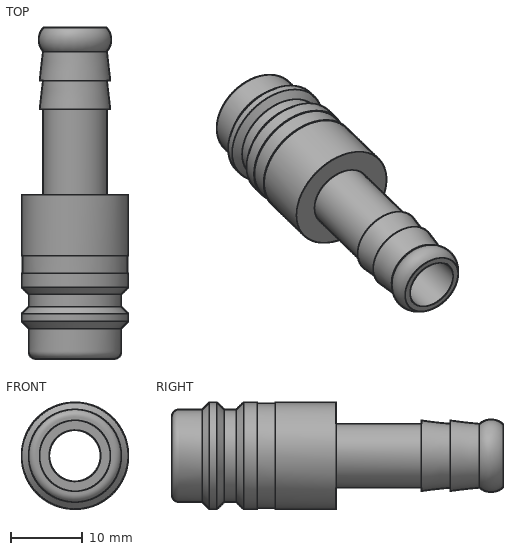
import cadquery as cq

length = 46.5
body_diameter = 15.0
body_radius = body_diameter / 2
relief_radius = 7.4
plug_radius = 6.5
stem_radius = 4.5
barb_radius = 4.98
bead_radius = 5.1
bead_end_radius = 4.4
bore_radius = 3.6
socket_radius = 4.98

nose_fillet = 1.0
collar_start = 4.3
collar_end = 7.35
groove_end = 9.05
chamfer = body_radius - plug_radius
relief_start = 12.0
relief_end = 14.5
body_end = 23.05
barb_start = 35.0
barb_count = 2
barb_length = 4.05
bead_start = barb_start + barb_count * barb_length

shoulder_wall = 3.1
socket_depth = body_end - shoulder_wall


def add_barbs(profile):
    """Draw each barb as a sharp step out followed by a taper back to the stem."""
    for index in range(barb_count):
        start = barb_start + index * barb_length
        profile = profile.lineTo(barb_radius, start)
        profile = profile.lineTo(stem_radius, start + barb_length)
    return profile


def make_outside():
    """Solid of revolution with its plug end at Y = 0."""
    profile = (
        cq.Workplane("XY")
        .lineTo(plug_radius, 0)
        .lineTo(plug_radius, collar_start)
        .lineTo(body_radius, collar_start + chamfer)
        .lineTo(body_radius, collar_end - chamfer)
        .lineTo(plug_radius, collar_end)
        .lineTo(plug_radius, groove_end)
        .lineTo(body_radius, groove_end + chamfer)
        .lineTo(body_radius, relief_start)
        .lineTo(relief_radius, relief_start)
        .lineTo(relief_radius, relief_end)
        .lineTo(body_radius, relief_end)
        .lineTo(body_radius, body_end)
        .lineTo(stem_radius, body_end)
        .lineTo(stem_radius, barb_start)
    )
    profile = (
        add_barbs(profile)
        .lineTo(bead_end_radius, bead_start)
        .threePointArc((bead_radius, (bead_start + length) / 2), (bead_end_radius, length))
        .lineTo(0, length)
        .close()
    )
    outside = profile.revolve(360, (0, 0, 0), (0, 1, 0))
    return outside.faces("<Y").edges().fillet(nose_fillet)


def make_bore(radius, depth):
    """Round cutter running from the plug end along the axis."""
    return cq.Workplane("XZ").circle(radius).extrude(-depth)


through_bore = make_bore(bore_radius, length)
socket = make_bore(socket_radius, socket_depth)
centre_shift = (0, -length / 2, 0)
result = make_outside().cut(through_bore).cut(socket).translate(centre_shift)